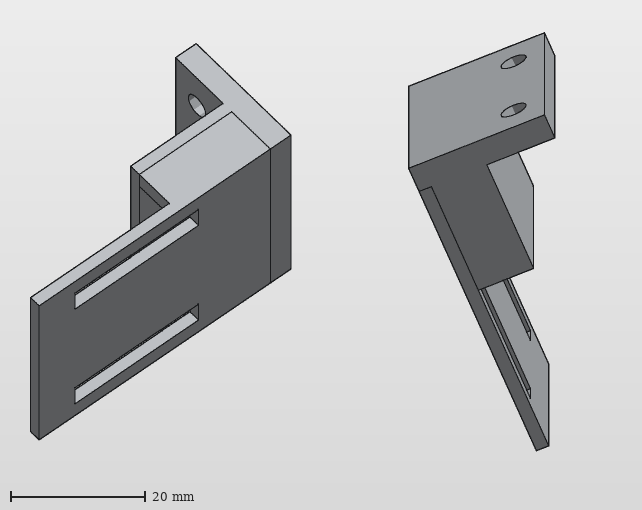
import cadquery as cq

width = 22.0
length = 49.0
height = 34.0

sheet_thickness = 2.0
flange_thickness = 4.0
shelf_thickness = 3.0

web_x = 11.02
channel_depth = 18.0

hole_diameter = 4.0
hole_x = 5.0
hole_spacing = 20.0

slot_height = 4.0
slot_end_margin = 7.0
slot_length = 24.0

flange_y = length - flange_thickness
channel_y = flange_y - channel_depth
channel_x = web_x + sheet_thickness
plate_x = width - sheet_thickness


def box(x_range, y_range, z_range):
    """Axis-aligned block between pairs of limits."""
    x0, x1 = x_range
    y0, y1 = y_range
    z0, z1 = z_range
    block = cq.Workplane("XY").box(x1 - x0, y1 - y0, z1 - z0, centered=False)
    return block.translate((x0, y0, z0))


def make_shelf(bottom_z):
    """Shelf that spans the gap between the web and the plate."""
    return box((channel_x, plate_x), (channel_y, flange_y), (bottom_z, bottom_z + shelf_thickness))


def make_bracket():
    """Drilled mounting flange with an upright web and the bottom shelf."""
    flange = box((0, width), (flange_y, length), (0, height))
    web = box((web_x, channel_x), (channel_y, flange_y), (0, height))
    body = flange.union(web).union(make_shelf(0))
    for side in (-1, 1):
        hole_z = height / 2 + side * hole_spacing / 2
        drill = cq.Solid.makeCylinder(
            hole_diameter / 2,
            flange_thickness,
            cq.Vector(hole_x, flange_y, hole_z),
            cq.Vector(0, 1, 0),
        )
        body = body.cut(cq.Workplane(obj=drill))
    return body


def make_slotted_plate():
    """Long plate with two slots and the top shelf that closes the channel."""
    body = box((plate_x, width), (0, flange_y), (0, height))
    body = body.union(make_shelf(height - shelf_thickness))
    lower_slot_z = shelf_thickness
    upper_slot_z = height - shelf_thickness - slot_height
    for slot_z in (lower_slot_z, upper_slot_z):
        slot = box(
            (plate_x, width),
            (slot_end_margin, slot_end_margin + slot_length),
            (slot_z, slot_z + slot_height),
        )
        body = body.cut(slot)
    return body


bracket = make_bracket()
slotted_plate = make_slotted_plate()

result = cq.Compound.makeCompound([bracket.val(), slotted_plate.val()])